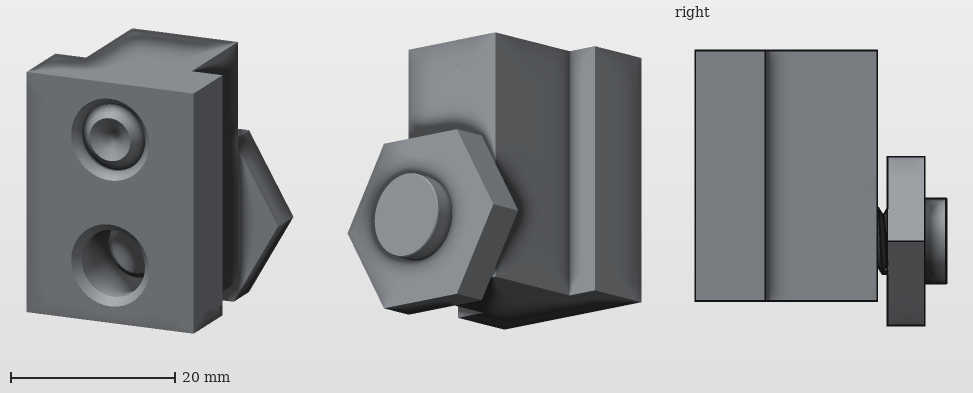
import cadquery as cq
import math


hex_corners = 23.8
hex_flats = hex_corners * math.cos(math.radians(30))
plate_front = 23.45
plate_back = 28.02

block_top = 33.55
block_bottom = 3.0
flange_width = 22.35
flange_depth = 8.55
neck_width = 14.13
block_depth = 22.2

hole_radius = 4.23
countersink = 0.97
hole_spacing = 16.0
bolt_z = hex_flats / 2
screw_z = bolt_z + hole_spacing

head_radius = 5.2
head_back = 30.7
head_edge = 0.15
crest_radius = 4.05
root_radius = 3.15
thread_pitch = 1.25
crest_flat = 0.05
root_flat = 0.1
groove_overshoot = 0.05
groove_y = 22.92
bolt_tip = 7.45
tip_radius = 3.02

cup_radius = 2.72
cup_depth = 1.65


def cylinder_along_y(radius, y_start, y_end, z):
    """Solid cylinder with its axis parallel to Y."""
    return cq.Workplane("XZ", origin=(0, y_start, z)).circle(radius).extrude(y_start - y_end)


def cone_along_y(start_radius, end_radius, y_start, y_end, z):
    """Solid cone or truncated cone with its axis parallel to Y."""
    cone = cq.Solid.makeCone(
        start_radius, end_radius, y_end - y_start, cq.Vector(0, y_start, z), cq.Vector(0, 1, 0)
    )
    return cq.Workplane(obj=cone)


def make_block():
    """T-shaped block with two countersunk through holes."""
    flange = cq.Workplane("XY").box(
        flange_width, flange_depth, block_top - block_bottom, centered=(True, False, False)
    )
    neck = cq.Workplane("XY").box(
        neck_width, block_depth, block_top - block_bottom, centered=(True, False, False)
    )
    block = flange.union(neck).translate((0, 0, block_bottom))
    for z in (bolt_z, screw_z):
        block = block.cut(cylinder_along_y(hole_radius, 0, block_depth, z))
        block = block.cut(cone_along_y(hole_radius + countersink, hole_radius, 0, countersink, z))
    return block


def make_hex_plate():
    """Hexagonal plate, corners to the left and right, with a hole for the bolt."""
    plate = (
        cq.Workplane("XZ", origin=(0, plate_front, bolt_z))
        .polygon(6, hex_corners)
        .extrude(plate_front - plate_back)
    )
    return plate.cut(cylinder_along_y(crest_radius, plate_front, plate_back, bolt_z))


def make_thread_groove():
    """Right-handed V groove that runs from before the bolt tip to just inside the plate."""
    turns_to_tip = math.ceil((groove_y - bolt_tip) / thread_pitch) + 1
    groove_start = groove_y - turns_to_tip * thread_pitch
    helix_length = plate_front - groove_start
    root_half = root_flat / 2
    outer_half = (thread_pitch - crest_flat) / 2
    outer_radius = crest_radius + groove_overshoot
    helix = cq.Wire.makeHelix(thread_pitch, helix_length, root_radius)
    profile = cq.Workplane("XZ").polyline([
        (root_radius, -root_half),
        (outer_radius, -outer_half),
        (outer_radius, outer_half),
        (root_radius, root_half),
    ]).close()
    groove = profile.sweep(cq.Workplane(obj=helix), isFrenet=True)
    return (
        groove.rotate((0, 0, 0), (0, 0, 1), -90)
        .rotate((0, 0, 0), (1, 0, 0), -90)
        .translate((0, groove_start, bolt_z))
    )


def make_bolt():
    """Bolt with a round head and a threaded rod whose tip has a 45 degree chamfer."""
    head = cylinder_along_y(head_radius, plate_back, head_back, bolt_z).faces(">Y").chamfer(head_edge)
    rod_start = bolt_tip - 3 * thread_pitch
    rod = cylinder_along_y(crest_radius, rod_start, plate_back, bolt_z).cut(make_thread_groove())
    cone_end = bolt_tip + head_radius - tip_radius
    envelope = cone_along_y(tip_radius, head_radius, bolt_tip, cone_end, bolt_z).union(
        cylinder_along_y(head_radius, cone_end, plate_back, bolt_z)
    )
    return rod.intersect(envelope).union(head)


def make_set_screw():
    """Set screw that fills the upper hole, with a chamfered tip and a conical cup."""
    chamfer_end = hole_radius - cup_radius
    body = cylinder_along_y(hole_radius, chamfer_end, block_depth, screw_z)
    tip = cone_along_y(cup_radius, hole_radius, 0, chamfer_end, screw_z)
    cup = cone_along_y(cup_radius, 0, 0, cup_depth, screw_z)
    return body.union(tip).cut(cup)


block = make_block()
hex_plate = make_hex_plate()
bolt = make_bolt()
set_screw = make_set_screw()

result = cq.Compound.makeCompound([body.solids().val() for body in (block, hex_plate, bolt, set_screw)])